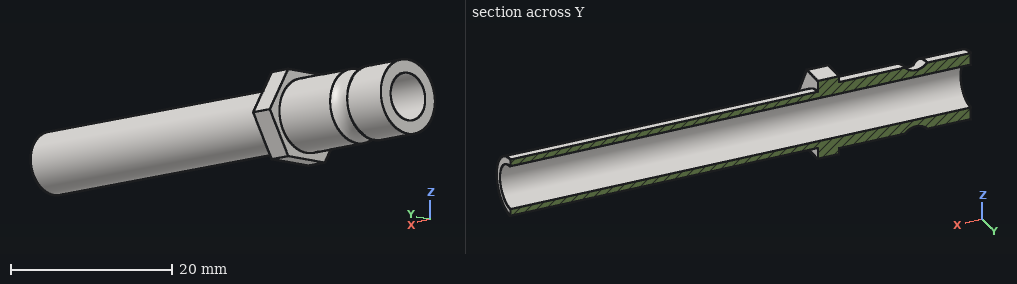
import cadquery as cq

total_length = 63.0
collar_start = 18.0
collar_width = 2.95
collar_end = collar_start + collar_width

plug_diameter = 9.4
tube_diameter = 8.0
bore_diameter = 6.0
collar_across_corners = 12.7

groove_start = 6.0
groove_width = 3.0
groove_end = groove_start + groove_width
groove_middle = groove_start + groove_width / 2
groove_floor_diameter = tube_diameter


def make_turned_body():
    """Revolve the plug, its groove and the tube around the X axis."""
    plug_radius = plug_diameter / 2
    tube_radius = tube_diameter / 2
    profile = (
        cq.Workplane("XY")
        .lineTo(0, plug_radius)
        .lineTo(groove_start, plug_radius)
        .threePointArc((groove_middle, groove_floor_diameter / 2), (groove_end, plug_radius))
        .lineTo(collar_end, plug_radius)
        .lineTo(collar_end, tube_radius)
        .lineTo(total_length, tube_radius)
        .lineTo(total_length, 0)
        .close()
    )
    return profile.revolve(360, (0, 0, 0), (1, 0, 0))


def make_hex_collar():
    """Hexagonal collar with corners on the Y axis and flats facing +Z and -Z."""
    return (
        cq.Workplane("YZ")
        .workplane(offset=collar_start)
        .polygon(6, collar_across_corners)
        .extrude(collar_width)
    )


def make_bore():
    """Straight through bore along the whole part."""
    return cq.Workplane("YZ").circle(bore_diameter / 2).extrude(total_length)


result = make_turned_body().union(make_hex_collar()).cut(make_bore())